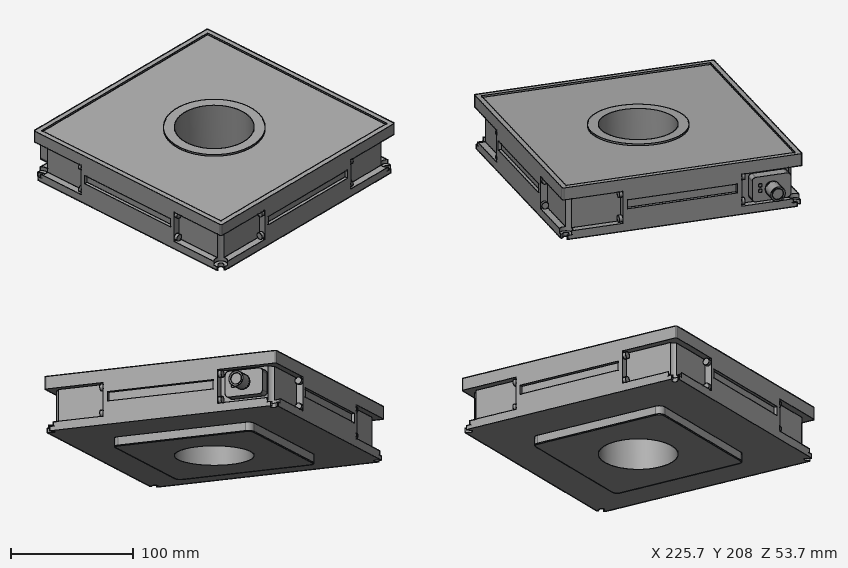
import cadquery as cq

body_side = 208.0
body_height = 46.0
half_side = body_side / 2
edge_rounding = 1.1

foot_side = 125.1
foot_height = 7.7
foot_corner_radius = 5.5
foot_chamfer = 0.7

rim_width = 4.5
panel_depth = 1.5
collar_diameter = 83.0
bore_diameter = 65.0

flange_thickness = 10.6
recess_height = 28.2
recess_length = 52.5
recess_depth = 6.0
recess_mid_z = -flange_thickness - recess_height / 2
lip_top_z = -flange_thickness - recess_height

stud_diameter = 5.9
stud_length = 3.0
stud_inset = 3.2

screw_inset = 4.5
screw_slot_width = 4.7
lip_corner_chamfer = 4.7
screw_head_diameter = 11.0
screw_head_depth = 3.6

groove_length = 95.0
groove_height = 8.0
groove_depth = 3.0
groove_mid_z = -22.5

block_length = 33.5
block_height = 21.7
block_corner_radius = 3.0
block_overhang = 2.7
block_y = -76.4
neck_diameter = 10.8
neck_length = 2.0
plug_diameter = 12.7
plug_length = 13.0
socket_diameter = 9.5
socket_depth = 0.7

lamp_diameter = 3.2
lamp_depth = 0.5
lamp_spacing = 4.7
lamp_offset_y = 9.7
lamp_offset_z = 0.7


def box(x_size, y_size, z_low, z_high, x=0.0, y=0.0):
    """Box centred at (x, y) between two heights."""
    return (
        cq.Workplane("XY", origin=(x, y, z_low))
        .rect(x_size, y_size)
        .extrude(z_high - z_low)
    )


def four_ways(shape):
    """The shape and its three copies, a quarter turn apart about Z."""
    group = shape
    for turn in (90, 180, 270):
        group = group.union(shape.rotate((0, 0, 0), (0, 0, 1), turn))
    return group


def rod_along_x(diameter, x_start, length, y, z):
    return (
        cq.Workplane("YZ", origin=(x_start, y, z))
        .circle(diameter / 2)
        .extrude(length)
    )


def screw_slot():
    """Round-ended slot running out diagonally through the -X, -Y corner of the lip."""
    centre = -half_side + screw_inset
    reach = 2 * screw_inset
    round_end = cq.Workplane("XY", origin=(0, 0, -body_height)).circle(screw_slot_width / 2)
    slot = round_end.extrude(lip_top_z + body_height)
    slot = slot.union(box(reach, screw_slot_width, -body_height, lip_top_z, x=-reach / 2))
    return slot.rotate((0, 0, 0), (0, 0, 1), 45).translate((centre, centre, 0))


def screw_head_bore():
    """Round clearance for the screw head, from its seat up to the flange."""
    centre = -half_side + screw_inset
    seat_z = lip_top_z - screw_head_depth
    return (
        cq.Workplane("XY", origin=(centre, centre, seat_z))
        .circle(screw_head_diameter / 2)
        .extrude(-flange_thickness - seat_z)
    )


def lip_corner():
    """Wedge that bevels the lip at the -X, -Y corner."""
    return (
        cq.Workplane("XY", origin=(-half_side, -half_side, -body_height))
        .polyline([(0, 0), (lip_corner_chamfer, 0), (0, lip_corner_chamfer)])
        .close()
        .extrude(lip_top_z + body_height)
    )


def corner_recess():
    """L-shaped recess around the -X, -Y corner, with its screw seat, slot and lip bevel."""
    top_z = -flange_thickness
    corner = -half_side
    block = box(2 * recess_length, 2 * recess_length, lip_top_z, top_z, corner, corner)
    core_side = body_side - 2 * recess_depth
    recess = block.cut(box(core_side, core_side, lip_top_z, top_z))
    return recess.union(screw_head_bore()).union(screw_slot()).union(lip_corner())


def end_studs():
    """Studs on both ends of the -Y side recesses."""
    y = -half_side + stud_inset
    end_x = half_side - recess_length
    z_offset = recess_height / 2 - stud_inset
    studs = cq.Workplane("XY")
    for z in (recess_mid_z - z_offset, recess_mid_z + z_offset):
        studs = studs.add(rod_along_x(stud_diameter, end_x, stud_length, y, z))
        studs = studs.add(rod_along_x(stud_diameter, -end_x, -stud_length, y, z))
    return studs.combine()


def housing():
    block = box(body_side, body_side, -body_height, 0).edges("|Z").fillet(edge_rounding)
    foot = box(foot_side, foot_side, -body_height - foot_height, -body_height)
    foot = foot.edges("|Z").fillet(foot_corner_radius).faces("<Z").chamfer(foot_chamfer)
    panel_side = body_side - 2 * rim_width
    sunk = box(panel_side, panel_side, -panel_depth, 0)
    sunk = sunk.cut(cq.Workplane("XY").circle(collar_diameter / 2).extrude(-panel_depth))
    groove = box(
        groove_length,
        2 * groove_depth,
        groove_mid_z - groove_height / 2,
        groove_mid_z + groove_height / 2,
        y=-half_side,
    )
    bore = cq.Workplane("XY").circle(bore_diameter / 2).extrude(-body_height - foot_height)
    shape = block.union(foot).cut(sunk).cut(four_ways(groove))
    shape = shape.cut(four_ways(corner_recess())).cut(bore)
    return shape.union(four_ways(end_studs()))


def connector():
    face_x = -half_side - block_overhang
    block = (
        cq.Workplane("YZ", origin=(face_x, block_y, recess_mid_z))
        .rect(block_length, block_height)
        .extrude(block_overhang + recess_depth)
        .edges("|X")
        .fillet(block_corner_radius)
    )
    plug_x = face_x - neck_length
    tip_x = plug_x - plug_length
    neck = rod_along_x(neck_diameter, face_x, -neck_length, block_y, recess_mid_z)
    plug = rod_along_x(plug_diameter, plug_x, -plug_length, block_y, recess_mid_z)
    socket = rod_along_x(socket_diameter, tip_x, socket_depth, block_y, recess_mid_z)
    shape = block.union(neck).union(plug).cut(socket)
    lamp_y = block_y + lamp_offset_y
    for side in (-1, 1):
        lamp_z = recess_mid_z + lamp_offset_z + side * lamp_spacing / 2
        shape = shape.cut(rod_along_x(lamp_diameter, face_x, lamp_depth, lamp_y, lamp_z))
    return shape


result = housing().union(connector())